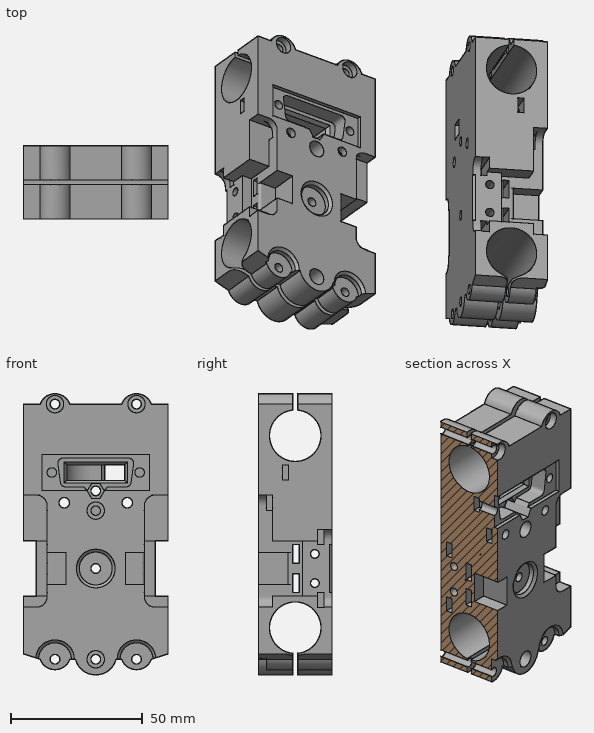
import cadquery as cq
import math

WIDTH = 55.0
DEPTH = 28.0
HALF_W = WIDTH / 2
FRONT = -DEPTH / 2
BACK = DEPTH / 2

ROD_SPACING = 73.0
ROD_D = 19.5
SLIT = 1.8
EDGE = 12.0
BOSS_OFFSET = 10.0
BOSS_R = 6.0
MIDDLE_BOSS_R = 8.0
CLAMP_SCREW_X = 15.5
TOP_EDGE = ROD_SPACING + EDGE
BOTTOM_EDGE = -EDGE
TAPER_END_Z = -10.0
TAPER_START_X = math.sqrt(BOSS_R ** 2 - (EDGE - BOSS_OFFSET) ** 2) + CLAMP_SCREW_X
SLIT_MOUTH_R = 4.0

SCREW_D = 3.6
HEAD_D = 6.6
HEAD_DEPTH = 3.0
DEEP_HEAD_DEPTH = 9.0
NUT_FLATS = 5.6
NUT_THICK = 2.4
NUT_SLOT_H = 5.8
NUT_SLOT_OVERRUN = 3.0

WAIST_Z = 22.5
WAIST_H = 21.0
WAIST_HALF_W = 22.7
NECK_HALF_W = 18.5
WAIST_STEP_Y = 2.85
TIE_SLOT_H = 7.0
TIE_SLOT_W = 2.4
TIE_SLOT_Y = 0.3
TIE_SLOT_OFFSET = 5.55
CROSS_HOLE_D = 3.2
CROSS_HOLE_Y = 7.45

RECESS_R = 4.0
RECESS_BOTTOM_Z = 7.8
FRONT_RECESS_TOP_Z = 50.4
FRONT_RECESS_DEPTH = 5.4
BACK_RECESS_TOP_Z = 37.3
BACK_RECESS_DEPTH = 3.1
BACK_CHAMFER = 1.0
BACK_CHAMFER_H = 18.2

SIDE_POCKET_H = 12.2
SIDE_POCKET_X = 11.3
SIDE_POCKET_FLOOR_Y = -2.75
SIDE_POCKET_ROUND = 0.9

DISH_R = 6.25
DISH_CHAMFER = 1.1
DISH_DEPTH = 3.1

CONN_Z = 59.0
PLATE_W = 40.8
PLATE_H = 13.7
PLATE_DEPTH = 1.6
SHELL_TOP_HALF_W = 14.7
SHELL_BOTTOM_HALF_W = 13.2
SHELL_H = 11.0
SHELL_R = 2.0
SHELL_FLOOR_Y = -6.0
WINDOW_HALF_W = 11.0
WINDOW_H = 5.9
WINDOW_CHAMFER = 1.0
WINDOW_CHAMFER_DEPTH = 1.6
BEND_R = 9.0
EXIT_LEFT_X = 3.5
EXIT_CHAMFER = 1.3
CONN_SCREW_X = 16.7
CONN_SCREW_NUT_Y = -3.7

MIDDLE_NUT_Z = 52.0
MIDDLE_NUT_FLOOR_Y = -2.5
NUT_ENTRY_FLARE = 1.2
BLIND_SCREW_Z = 44.5
BLIND_SCREW_DEPTH = 20.0
SIDE_SCREW_X = 12.0
SIDE_SCREW_Z = 47.5
SIDE_SCREW_D = 3.9
BACK_SCREW_X = 15.5
BACK_SCREW_OFFSET = 12.0


def box(x0, x1, y0, y1, z0, z1):
    corner = cq.Vector(x0, y0, z0)
    return cq.Workplane(cq.Solid.makeBox(x1 - x0, y1 - y0, z1 - z0, corner))


def cylinder_y(radius, x, z, y0=FRONT, y1=BACK):
    axis = cq.Vector(0, 1, 0)
    return cq.Workplane(cq.Solid.makeCylinder(radius, y1 - y0, cq.Vector(x, y0, z), axis))


def cylinder_x(radius, y, z):
    axis = cq.Vector(1, 0, 0)
    return cq.Workplane(cq.Solid.makeCylinder(radius, WIDTH, cq.Vector(-HALF_W, y, z), axis))


def both_sides(shape):
    return shape.union(shape.mirror("YZ"))


def counterbored(x, z, head_depth):
    head = cylinder_y(HEAD_D / 2, x, z, FRONT, FRONT + head_depth)
    return cylinder_y(SCREW_D / 2, x, z).union(head)


def make_block():
    outline = [
        (-HALF_W, TOP_EDGE), (HALF_W, TOP_EDGE), (HALF_W, TAPER_END_Z), (TAPER_START_X, BOTTOM_EDGE),
        (-TAPER_START_X, BOTTOM_EDGE), (-HALF_W, TAPER_END_Z),
    ]
    block = cq.Workplane("XZ", origin=(0, BACK, 0)).polyline(outline).close().extrude(DEPTH)
    for x in (-CLAMP_SCREW_X, CLAMP_SCREW_X):
        block = block.union(cylinder_y(BOSS_R, x, ROD_SPACING + BOSS_OFFSET))
        block = block.union(cylinder_y(BOSS_R, x, -BOSS_OFFSET))
    return block.union(cylinder_y(MIDDLE_BOSS_R, 0, -BOSS_OFFSET))


def slit_mouth():
    r = SLIT_MOUTH_R
    flare_y = SLIT / 2 + r
    mouth = box(-HALF_W, -HALF_W + r, -flare_y, flare_y, BOTTOM_EDGE, 0)
    for y in (-flare_y, flare_y):
        mouth = mouth.cut(cq.Workplane("XY", origin=(-HALF_W + r, y, BOTTOM_EDGE)).circle(r).extrude(EDGE))
    return mouth


def rod_clamps():
    boss_reach = BOSS_OFFSET + MIDDLE_BOSS_R
    cut = cylinder_x(ROD_D / 2, 0, 0).union(cylinder_x(ROD_D / 2, 0, ROD_SPACING))
    cut = cut.union(box(-HALF_W, HALF_W, -SLIT / 2, SLIT / 2, -boss_reach, 0))
    upper = box(-HALF_W, HALF_W, -SLIT / 2, SLIT / 2, ROD_SPACING, ROD_SPACING + boss_reach)
    return cut.union(upper).union(both_sides(slit_mouth()))


def waist():
    z0 = WAIST_Z - WAIST_H / 2
    z1 = WAIST_Z + WAIST_H / 2
    rear = box(-HALF_W, -WAIST_HALF_W, FRONT, BACK, z0, z1)
    front = box(-HALF_W, -NECK_HALF_W, FRONT, WAIST_STEP_Y, z0, z1)
    cut = both_sides(rear.union(front))
    for z in (WAIST_Z - TIE_SLOT_OFFSET, WAIST_Z + TIE_SLOT_OFFSET):
        slot = box(-HALF_W, HALF_W, TIE_SLOT_Y - TIE_SLOT_W / 2, TIE_SLOT_Y + TIE_SLOT_W / 2,
                   z - TIE_SLOT_H / 2, z + TIE_SLOT_H / 2)
        cut = cut.union(slot).union(cylinder_x(CROSS_HOLE_D / 2, CROSS_HOLE_Y, z))
    return cut


def corner_recess(inner_x, y0, y1, top_z):
    recess = box(-HALF_W - RECESS_R, -inner_x, y0, y1, RECESS_BOTTOM_Z, top_z)
    return both_sides(recess.edges("|Y and >X").fillet(RECESS_R))


def back_edge_chamfers():
    x = -WAIST_HALF_W
    profile = [(x, BACK), (x + BACK_CHAMFER, BACK), (x, BACK - BACK_CHAMFER)]
    start = WAIST_Z - BACK_CHAMFER_H / 2
    wedge = cq.Workplane("XY", origin=(0, 0, start)).polyline(profile).close().extrude(BACK_CHAMFER_H)
    return both_sides(wedge)


def side_pockets():
    z0 = WAIST_Z - SIDE_POCKET_H / 2
    z1 = WAIST_Z + SIDE_POCKET_H / 2
    pocket = box(-NECK_HALF_W, -SIDE_POCKET_X, FRONT, SIDE_POCKET_FLOOR_Y, z0, z1)
    r = SIDE_POCKET_ROUND
    centre_x = -NECK_HALF_W + r
    rounding = box(-NECK_HALF_W, centre_x, SIDE_POCKET_FLOOR_Y, SIDE_POCKET_FLOOR_Y + r, z0, z1)
    kept = cq.Workplane("XY", origin=(centre_x, SIDE_POCKET_FLOOR_Y + r, z0)).circle(r).extrude(z1 - z0)
    return both_sides(pocket.union(rounding.cut(kept)))


def dish(x, z):
    cone = cq.Solid.makeCone(DISH_R + DISH_CHAMFER, DISH_R, DISH_CHAMFER,
                             cq.Vector(x, FRONT, z), cq.Vector(0, 1, 0))
    cut = cylinder_y(DISH_R, x, z, FRONT, FRONT + DISH_DEPTH).union(cq.Workplane(cone))
    return cut.union(cylinder_y(SCREW_D / 2, x, z))


def nut_slot(screw_x, y, z):
    return box(-HALF_W, -screw_x + NUT_SLOT_OVERRUN, y - NUT_THICK / 2, y + NUT_THICK / 2,
               z - NUT_SLOT_H / 2, z + NUT_SLOT_H / 2)


def nut_slots():
    y = FRONT + FRONT_RECESS_DEPTH - NUT_THICK / 2
    cut = nut_slot(SIDE_SCREW_X, y, SIDE_SCREW_Z)
    cut = cut.union(nut_slot(CONN_SCREW_X, CONN_SCREW_NUT_Y, CONN_Z))
    back_y = BACK - BACK_RECESS_DEPTH - NUT_THICK / 2
    for z in (WAIST_Z - BACK_SCREW_OFFSET, WAIST_Z + BACK_SCREW_OFFSET):
        cut = cut.union(nut_slot(BACK_SCREW_X, back_y, z))
    return both_sides(cut)


def connector():
    plate = box(-PLATE_W / 2, PLATE_W / 2, FRONT, FRONT + PLATE_DEPTH,
                CONN_Z - PLATE_H / 2, CONN_Z + PLATE_H / 2)
    half_h = SHELL_H / 2
    shell_outline = [
        (-SHELL_TOP_HALF_W, half_h), (SHELL_TOP_HALF_W, half_h),
        (SHELL_BOTTOM_HALF_W, -half_h), (-SHELL_BOTTOM_HALF_W, -half_h),
    ]
    shell = cq.Workplane("XZ", origin=(0, SHELL_FLOOR_Y, CONN_Z)).polyline(shell_outline).close()
    shell = shell.extrude(SHELL_FLOOR_Y - FRONT).edges("|Y").fillet(SHELL_R)

    rim = cq.Workplane("XZ", origin=(0, SHELL_FLOOR_Y, CONN_Z))
    rim = rim.rect(2 * (WINDOW_HALF_W + WINDOW_CHAMFER), WINDOW_H + 2 * WINDOW_CHAMFER)
    rim = rim.workplane(offset=-WINDOW_CHAMFER_DEPTH).rect(2 * WINDOW_HALF_W, WINDOW_H).loft(ruled=True)

    mouth_y = SHELL_FLOOR_Y + WINDOW_CHAMFER_DEPTH
    wall_y = mouth_y + BEND_R
    bend_mid = BEND_R * (1 - math.sqrt(0.5))
    duct = (
        cq.Workplane("XY", origin=(0, 0, CONN_Z - WINDOW_H / 2))
        .moveTo(-WINDOW_HALF_W, mouth_y)
        .threePointArc((-WINDOW_HALF_W + bend_mid, wall_y - bend_mid), (-WINDOW_HALF_W + BEND_R, wall_y))
        .lineTo(EXIT_LEFT_X - EXIT_CHAMFER, wall_y)
        .lineTo(EXIT_LEFT_X, wall_y + EXIT_CHAMFER)
        .lineTo(EXIT_LEFT_X, BACK)
        .lineTo(WINDOW_HALF_W, BACK)
        .lineTo(WINDOW_HALF_W, mouth_y)
        .close()
        .extrude(WINDOW_H)
    )
    screw_end_y = CONN_SCREW_NUT_Y + NUT_THICK / 2
    screws = both_sides(cylinder_y(SCREW_D / 2, -CONN_SCREW_X, CONN_Z, FRONT, screw_end_y))
    return plate.union(shell).union(rim).union(duct).union(screws)


def middle_nut_pocket():
    across_corners = NUT_FLATS / math.cos(math.pi / 6)
    pocket = cq.Workplane("XZ", origin=(0, MIDDLE_NUT_FLOOR_Y, MIDDLE_NUT_Z)).polygon(6, across_corners)
    pocket = pocket.extrude(MIDDLE_NUT_FLOOR_Y - FRONT)

    shell_z = CONN_Z - SHELL_H / 2
    throat_x = across_corners / 2
    mouth_x = throat_x + NUT_ENTRY_FLARE
    entry = cq.Workplane("XZ", origin=(0, SHELL_FLOOR_Y, 0)).polyline([
        (-mouth_x, shell_z), (mouth_x, shell_z), (throat_x, MIDDLE_NUT_Z), (-throat_x, MIDDLE_NUT_Z),
    ])
    entry = entry.close().extrude(SHELL_FLOOR_Y - FRONT)
    return pocket.union(entry).union(cylinder_y(SCREW_D / 2, 0, MIDDLE_NUT_Z))


def front_screws():
    cut = counterbored(0, BOTTOM_EDGE, DEEP_HEAD_DEPTH)
    for x in (-CLAMP_SCREW_X, CLAMP_SCREW_X):
        cut = cut.union(counterbored(x, TOP_EDGE, HEAD_DEPTH))
        cut = cut.union(cylinder_y(SIDE_SCREW_D / 2, math.copysign(SIDE_SCREW_X, x), SIDE_SCREW_Z))
    cut = cut.union(cylinder_y(HEAD_D / 2, 0, BLIND_SCREW_Z, FRONT, FRONT + DEEP_HEAD_DEPTH))
    return cut.union(cylinder_y(SCREW_D / 2, 0, BLIND_SCREW_Z, FRONT, FRONT + BLIND_SCREW_DEPTH))


result = make_block()
result = result.cut(rod_clamps())
result = result.cut(waist())
result = result.cut(corner_recess(NECK_HALF_W, FRONT, FRONT + FRONT_RECESS_DEPTH, FRONT_RECESS_TOP_Z))
result = result.cut(corner_recess(WAIST_HALF_W, BACK - BACK_RECESS_DEPTH, BACK, BACK_RECESS_TOP_Z))
result = result.cut(back_edge_chamfers())
result = result.cut(side_pockets())
result = result.cut(dish(0, WAIST_Z))
result = result.cut(both_sides(dish(-CLAMP_SCREW_X, BOTTOM_EDGE)))
result = result.cut(nut_slots())
result = result.cut(connector())
result = result.cut(middle_nut_pocket())
result = result.cut(front_screws())